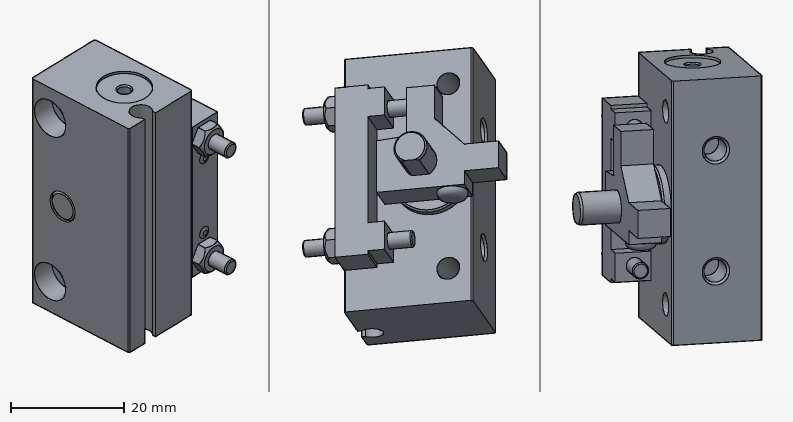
import cadquery as cq
import math


block_height = 48.0
block_left = -7.5
block_right = 16.0
block_depth = 16.5
edge_chamfer = 0.3
shaft_diameter = 6.0

boss_diameter = 14.0
boss_height = 1.55
boss_chamfer = 0.35
boss_rear = block_depth + boss_height

mount_x = -3.0
mount_z = 17.5
mount_diameter = 4.15
counterbore_diameter = 7.5
counterbore_depth = 4.5

port_y = 8.5
port_z = 11.0
port_diameter = 4.15
port_mouth_diameter = 5.0
port_depth = 6.0

plug_x = 6.5
plug_y = 9.05
plug_diameter = 10.0
plug_recess = 0.5
plug_hole_diameter = 2.45
plug_hole_mouth_diameter = 3.0
plug_hole_depth = 3.85

groove_x = 13.75
groove_y = 5.5
groove_diameter = 4.15
groove_mouth = 2.8

bracket_half_height = 16.1
bracket_bar_left = 10.0
bracket_tab_left = 6.95
bracket_tab_outer_z = 15.4
bracket_tab_inner_z = 10.1
bracket_rear = 23.1

stop_screw_z = 12.55
stop_screw_y = 19.6
stop_screw_diameter = 3.0
stop_screw_right = 22.45
stop_screw_chamfer = 0.25
nut_across_flats = 5.5
nut_thickness = 2.35
nut_face_diameter = 5.0
point_z = 8.0
point_diameter = 2.35
point_tip_diameter = 1.0
point_height = 0.3

shaft_rear = 32.0
shaft_front_chamfer = 0.5
shaft_rear_chamfer_length = 0.45
shaft_rear_chamfer_width = 0.3
shaft_flat_z = -2.55

lever_front = boss_rear + 0.55
lever_thickness = 6.0
arm_half_width = 2.55
arm_reach = 14.25
hub_half_width = 8.0
hub_bottom = -5.1
shoulder_inner_z = 5.1
shoulder_outer_z = 4.7

clamp_head_x = -5.1
clamp_head_diameter = 5.5
clamp_head_height = 1.5
clamp_head_round = 1.2


def cylinder(start, direction, diameter, length):
    return cq.Workplane(
        cq.Solid.makeCylinder(diameter / 2, length, cq.Vector(*start), cq.Vector(*direction))
    )


def cone(start, direction, start_diameter, end_diameter, length):
    return cq.Workplane(
        cq.Solid.makeCone(start_diameter / 2, end_diameter / 2, length, cq.Vector(*start), cq.Vector(*direction))
    )


def countersunk_drill(start, direction, diameter, mouth_diameter, depth):
    mouth_depth = (mouth_diameter - diameter) / 2
    mouth = cone(start, direction, mouth_diameter, diameter, mouth_depth)
    return cylinder(start, direction, diameter, depth).union(mouth)


def make_block():
    block = (
        cq.Workplane("XY")
        .box(block_right - block_left, block_depth, block_height, centered=False)
        .translate((block_left, 0, -block_height / 2))
        .edges("|Z")
        .chamfer(edge_chamfer)
    )
    boss = cylinder((0, block_depth, 0), (0, 1, 0), boss_diameter, boss_height)
    return block.union(boss.faces(">Y").edges().chamfer(boss_chamfer))


def cut_mounting_holes(body):
    for z in (-mount_z, mount_z):
        start = (mount_x, 0, z)
        body = body.cut(cylinder(start, (0, 1, 0), mount_diameter, block_depth))
        body = body.cut(cylinder(start, (0, 1, 0), counterbore_diameter, counterbore_depth))
    return body


def cut_ports(body):
    for z in (-port_z, port_z):
        start = (block_left, port_y, z)
        body = body.cut(countersunk_drill(start, (1, 0, 0), port_diameter, port_mouth_diameter, port_depth))
    return body


def cut_end_plug(body):
    top = block_height / 2
    recess_floor = top - plug_recess
    body = body.cut(cylinder((plug_x, plug_y, top), (0, 0, -1), plug_diameter, plug_recess))
    hole = countersunk_drill(
        (plug_x, plug_y, recess_floor), (0, 0, -1), plug_hole_diameter, plug_hole_mouth_diameter, plug_hole_depth
    )
    return body.cut(hole)


def cut_sensor_groove(body):
    channel = cylinder((groove_x, groove_y, -block_height / 2), (0, 0, 1), groove_diameter, block_height)
    mouth = (
        cq.Workplane("XY")
        .box(block_right - groove_x, groove_mouth, block_height, centered=(False, True, True))
        .translate((groove_x, groove_y, 0))
    )
    return body.cut(channel).cut(mouth)


def make_bracket():
    outline = [
        (block_right, bracket_half_height),
        (bracket_bar_left, bracket_half_height),
        (bracket_bar_left, bracket_tab_outer_z),
        (bracket_tab_left, bracket_tab_outer_z),
        (bracket_tab_left, bracket_tab_inner_z),
        (bracket_bar_left, bracket_tab_inner_z),
    ]
    mirrored = [(x, -z) for x, z in reversed(outline)]
    return (
        cq.Workplane("XZ", origin=(0, block_depth, 0))
        .polyline(outline + mirrored)
        .close()
        .extrude(block_depth - bracket_rear)
    )


def make_stop_screw(z):
    left = arm_half_width
    screw = cylinder((left, stop_screw_y, z), (1, 0, 0), stop_screw_diameter, stop_screw_right - left)
    return screw.faces("<X or >X").edges().chamfer(stop_screw_chamfer)


def make_lock_nut(z):
    across_corners = nut_across_flats / math.cos(math.pi / 6)
    nut = (
        cq.Workplane("YZ", origin=(block_right, stop_screw_y, z))
        .polygon(6, across_corners)
        .extrude(nut_thickness)
    )
    envelope = cylinder((block_right, stop_screw_y, z), (1, 0, 0), across_corners, nut_thickness)
    bevel = (across_corners - nut_face_diameter) / 2
    return nut.intersect(envelope.faces(">X").edges().chamfer(bevel))


def make_screw_point(z):
    return cone((block_right, stop_screw_y, z), (1, 0, 0), point_diameter, point_tip_diameter, point_height)


def make_housing():
    body = make_block()
    body = cut_mounting_holes(body)
    body = cut_ports(body)
    body = cut_end_plug(body)
    body = cut_sensor_groove(body)
    body = body.cut(cylinder((0, 0, 0), (0, 1, 0), shaft_diameter, boss_rear))
    body = body.union(make_bracket())
    for side in (-1, 1):
        body = body.union(make_stop_screw(side * stop_screw_z))
        body = body.union(make_lock_nut(side * stop_screw_z))
        body = body.union(make_screw_point(side * point_z))
    return body


def make_shaft():
    radius = shaft_diameter / 2
    profile = [
        (0, 0),
        (radius - shaft_front_chamfer, 0),
        (radius, shaft_front_chamfer),
        (radius, shaft_rear - shaft_rear_chamfer_length),
        (radius - shaft_rear_chamfer_width, shaft_rear),
        (0, shaft_rear),
    ]
    shaft = cq.Workplane("XY").polyline(profile).close().revolve(360, (0, 0), (0, 1))
    flat = (
        cq.Workplane("XY")
        .box(shaft_diameter, shaft_rear - lever_front, shaft_diameter, centered=(True, False, False))
        .translate((0, lever_front, shaft_flat_z - shaft_diameter))
    )
    return shaft.cut(flat)


def make_lever():
    outline = [
        (-arm_reach, -arm_half_width),
        (-hub_half_width, -arm_half_width),
        (-hub_half_width, hub_bottom),
        (hub_half_width, hub_bottom),
        (hub_half_width, shoulder_outer_z),
        (arm_half_width, shoulder_inner_z),
        (arm_half_width, arm_reach),
        (-arm_half_width, arm_reach),
        (-arm_half_width, hub_half_width),
        (-hub_half_width, arm_half_width),
        (-arm_reach, arm_half_width),
    ]
    return cq.Workplane("XZ", origin=(0, lever_front, 0)).polyline(outline).close().extrude(-lever_thickness)


def make_clamp_head():
    start = (clamp_head_x, lever_front + lever_thickness / 2, hub_bottom)
    head = cylinder(start, (0, 0, -1), clamp_head_diameter, clamp_head_height)
    return head.faces("<Z").edges().fillet(clamp_head_round)


def make_rotor():
    return make_shaft().union(make_lever()).union(make_clamp_head())


housing = make_housing()
rotor = make_rotor()

result = cq.Compound.makeCompound([housing.val(), rotor.val()])